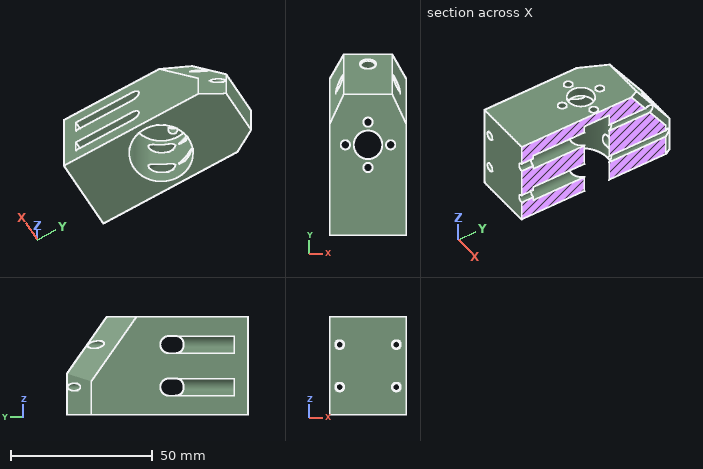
import cadquery as cq
import math

WIDTH = 27.0
LENGTH = 64.0
HEIGHT = 34.7
HALF_WIDTH = WIDTH / 2

NOSE_HEIGHT = 14.6
SLOPE_ANGLE = 55.0
BEVEL_WIDTH = 5.0
BEVEL_ANGLE = 60.0
BEVEL_LENGTH = BEVEL_WIDTH * math.tan(math.radians(BEVEL_ANGLE))

BORE_Y = 32.0
BORE_DIAMETER = 22.5
ROOF_THICKNESS = 4.0
ROOF_HOLE_DIAMETER = 10.0
SCREW_HOLE_DIAMETER = 3.2
SCREW_COUNT = 4
SCREW_CIRCLE_RADIUS = 8.0

CHANNEL_SPACING_X = 20.0
CHANNEL_SPACING_Z = 15.0
FRONT_HOLE_DIAMETER = 3.2
ROD_HOLE_DIAMETER = 2.6
SLOT_WIDTH = 6.0
SLOT_WALL_DEPTH = 4.0
SLOT_START_Y = 5.0
SLOT_END_Y = 31.0

PORT_DIAMETER = 5.1
PORT_MOUTH_DIAMETER = 5.75
PORT_MOUTH_DEPTH = 0.5
PORT_Y = 60.55
PORT_DEPTH = 22.4

slope_cos = math.cos(math.radians(SLOPE_ANGLE))
slope_sin = math.sin(math.radians(SLOPE_ANGLE))
slope_tan = math.tan(math.radians(SLOPE_ANGLE))
UP_SLOPE = (0, -slope_cos, slope_sin)
INTO_SLOPE = (0, -slope_sin, -slope_cos)


def make_block():
    """Block with the upper nose edge sloped off."""
    slope_top_y = LENGTH - (HEIGHT - NOSE_HEIGHT) / slope_tan
    outline = [(0, 0), (LENGTH, 0), (LENGTH, NOSE_HEIGHT), (slope_top_y, HEIGHT), (0, HEIGHT)]
    return cq.Workplane("YZ").polyline(outline).close().extrude(HALF_WIDTH, both=True)


def make_bevel(side, edge_direction):
    """Wedge along one side edge of the nose face or of the sloped face."""
    plane = cq.Plane(origin=(0, LENGTH, NOSE_HEIGHT), xDir=(1, 0, 0), normal=edge_direction)
    corner = (side * HALF_WIDTH, 0)
    inner_point = (side * (HALF_WIDTH - BEVEL_WIDTH), 0)
    rear_point = (side * HALF_WIDTH, -BEVEL_LENGTH)
    wedge = cq.Workplane(plane).polyline([corner, inner_point, rear_point]).close()
    return wedge.extrude(LENGTH, both=True)


def make_bore():
    """Vertical bore, with the centre hole and four screw holes through its roof."""
    base = cq.Workplane("XY").center(0, BORE_Y)
    bore = base.circle(BORE_DIAMETER / 2).extrude(HEIGHT - ROOF_THICKNESS)
    roof_hole = base.circle(ROOF_HOLE_DIAMETER / 2).extrude(HEIGHT)
    screw_places = base.polarArray(SCREW_CIRCLE_RADIUS, 0, 360, SCREW_COUNT)
    screw_holes = screw_places.circle(SCREW_HOLE_DIAMETER / 2).extrude(HEIGHT)
    return bore.union(roof_hole).union(screw_holes)


def cylinder_along_y(x, z, diameter, start_y, end_y):
    """Solid cylinder parallel to Y."""
    plane = cq.Plane(origin=(x, start_y, z), xDir=(1, 0, 0), normal=(0, 1, 0))
    return cq.Workplane(plane).circle(diameter / 2).extrude(end_y - start_y)


def make_channel(side, z):
    """Stepped rod hole along Y, with a round-bottomed slot open to the side face."""
    x = side * CHANNEL_SPACING_X / 2
    radius = SLOT_WIDTH / 2
    slot_x = side * (HALF_WIDTH - SLOT_WALL_DEPTH)
    round_y = SLOT_END_Y - radius
    slot = (
        cq.Workplane("YZ", origin=(slot_x, 0, 0))
        .moveTo(SLOT_START_Y, z - radius)
        .lineTo(round_y, z - radius)
        .threePointArc((SLOT_END_Y, z), (round_y, z + radius))
        .lineTo(SLOT_START_Y, z + radius)
        .close()
        .extrude(side * SLOT_WALL_DEPTH)
    )
    slot_bottom = cylinder_along_y(slot_x, z, SLOT_WIDTH, SLOT_START_Y, round_y)
    front_hole = cylinder_along_y(x, z, FRONT_HOLE_DIAMETER, 0, SLOT_START_Y)
    rod_hole = cylinder_along_y(x, z, ROD_HOLE_DIAMETER, 0, LENGTH)
    return rod_hole.union(front_hole).union(slot_bottom).union(slot)


def make_port():
    """Hole square to the sloped face, with a conical mouth."""
    port_z = NOSE_HEIGHT + (LENGTH - PORT_Y) * slope_tan
    plane = cq.Plane(origin=(0, PORT_Y, port_z), xDir=(1, 0, 0), normal=INTO_SLOPE)
    radius = PORT_DIAMETER / 2
    hole = cq.Workplane(plane).circle(radius).extrude(PORT_DEPTH)
    mouth = (
        cq.Workplane(plane)
        .circle(PORT_MOUTH_DIAMETER / 2)
        .workplane(offset=PORT_MOUTH_DEPTH)
        .circle(radius)
        .loft(ruled=True)
    )
    return hole.union(mouth)


result = make_block()
for side in (-1, 1):
    for edge_direction in ((0, 0, 1), UP_SLOPE):
        result = result.cut(make_bevel(side, edge_direction))

result = result.cut(make_bore())
for side in (-1, 1):
    for level in (-1, 1):
        result = result.cut(make_channel(side, HEIGHT / 2 + level * CHANNEL_SPACING_Z / 2))

result = result.cut(make_port())